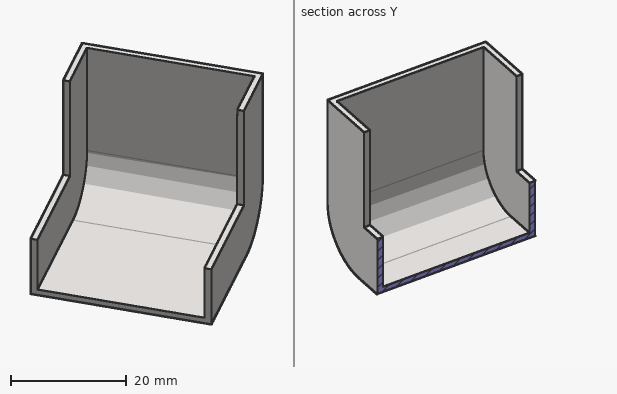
import cadquery as cq

WIDTH = 32.6
SIDE = 31.7
LEG_DEPTH = 11.7
BEND_RADIUS = 10.0
WALL = 1.2
SIDE_WALL_TOP = WALL
SIDE_WALL_BASE = 1.27

BACK = SIDE / 2
FRONT = -SIDE / 2
TOP = SIDE / 2
BASE = -SIDE / 2
HALF_WIDTH = WIDTH / 2


def rounded_elbow():
    """L-shaped bar along X with its back lower corner rounded."""
    inner_y = BACK - LEG_DEPTH
    inner_z = BASE + LEG_DEPTH
    bar = (
        cq.Workplane("YZ")
        .moveTo(BACK, BASE)
        .lineTo(BACK, TOP)
        .lineTo(inner_y, TOP)
        .lineTo(inner_y, inner_z)
        .lineTo(FRONT, inner_z)
        .lineTo(FRONT, BASE)
        .close()
        .extrude(HALF_WIDTH, both=True)
    )
    return bar.edges("|X and >Y and <Z").fillet(BEND_RADIUS)


def channel_cavity():
    """Drafted block between the side walls, rounded concentric with the outer bend."""
    top_x = HALF_WIDTH - SIDE_WALL_TOP
    base_x = HALF_WIDTH - SIDE_WALL_BASE
    between_sides = (
        cq.Workplane("XZ", origin=(0, BACK, 0))
        .polyline([(-base_x, BASE), (base_x, BASE), (top_x, TOP), (-top_x, TOP)])
        .close()
        .extrude(SIDE)
    )
    above_floor = (
        cq.Workplane("XY")
        .box(WIDTH, SIDE, SIDE)
        .translate((0, -WALL, WALL))
        .edges("|X and >Y and <Z")
        .fillet(BEND_RADIUS - WALL)
    )
    return between_sides.intersect(above_floor)


result = rounded_elbow().cut(channel_cavity())